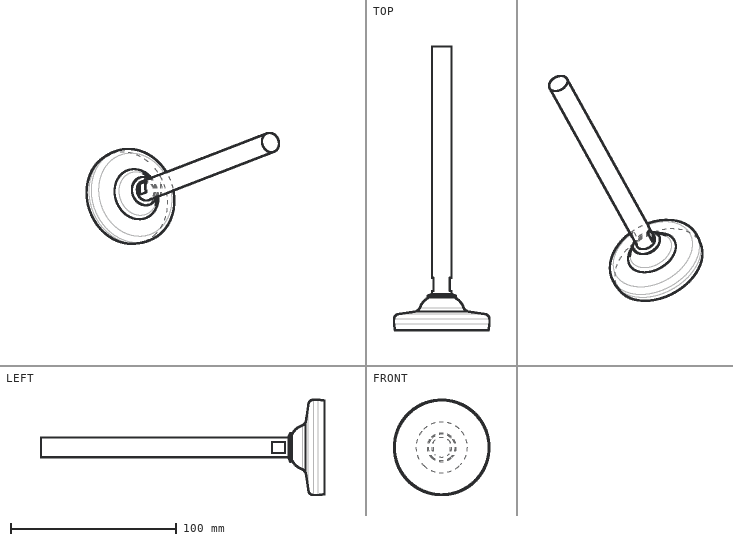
import cadquery as cq
import math

TOTAL_LENGTH = 172.0
FOOT_RADIUS = 58.0 / 2
ROD_RADIUS = 12.0 / 2

UNDERSIDE_RADIUS = FOOT_RADIUS - 0.5
TAPER_HEIGHT = 4.0
RIM_HEIGHT = 6.7
RIM_ROUND = 3.3
SHOULDER_HEIGHT = RIM_HEIGHT + RIM_ROUND
SHOULDER_RADIUS = FOOT_RADIUS - RIM_ROUND

DOME_FOOT_RADIUS = 15.5
DOME_FOOT_HEIGHT = 11.5
DOME_RADIUS = 13.5
DOME_HEIGHT = 13.5
DOME_TOP_RADIUS = 8.0
DOME_TOP_HEIGHT = 19.8
DOME_BULGE = 0.9
FLARE_SAG = 0.2
LIP_RADIUS = 8.8
LIP_HEIGHT = 20.8
SEAT_HEIGHT = 22.0

FLAT_WIDTH = 10.0
FLAT_START = 23.9
FLAT_LENGTH = 7.9


def bulged_middle(start, end, bulge):
    """Midpoint of a chord, moved outward (away from the axis and upward) by the bulge."""
    run = end[0] - start[0]
    rise = end[1] - start[1]
    chord = math.hypot(run, rise)
    middle_radius = (start[0] + end[0]) / 2 + bulge * rise / chord
    middle_height = (start[1] + end[1]) / 2 - bulge * run / chord
    return (middle_radius, middle_height)


def revolve_about_y(profile):
    return profile.close().revolve(360, (0, 0, 0), (0, 1, 0))


def make_foot():
    rim = (FOOT_RADIUS, RIM_HEIGHT)
    shoulder = (SHOULDER_RADIUS, SHOULDER_HEIGHT)
    dome_foot = (DOME_FOOT_RADIUS, DOME_FOOT_HEIGHT)
    dome_base = (DOME_RADIUS, DOME_HEIGHT)
    dome_top = (DOME_TOP_RADIUS, DOME_TOP_HEIGHT)
    rim_middle = (
        SHOULDER_RADIUS + RIM_ROUND * math.sqrt(0.5),
        RIM_HEIGHT + RIM_ROUND * math.sqrt(0.5),
    )
    profile = (
        cq.Workplane("XY")
        .lineTo(UNDERSIDE_RADIUS, 0)
        .lineTo(FOOT_RADIUS, TAPER_HEIGHT)
        .lineTo(*rim)
        .threePointArc(rim_middle, shoulder)
        .lineTo(*dome_foot)
        .threePointArc(bulged_middle(dome_foot, dome_base, -FLARE_SAG), dome_base)
        .threePointArc(bulged_middle(dome_base, dome_top, DOME_BULGE), dome_top)
        .lineTo(LIP_RADIUS, LIP_HEIGHT)
        .lineTo(ROD_RADIUS, SEAT_HEIGHT)
        .lineTo(0, SEAT_HEIGHT)
    )
    return revolve_about_y(profile)


def make_rod():
    profile = (
        cq.Workplane("XY")
        .moveTo(0, SEAT_HEIGHT)
        .lineTo(ROD_RADIUS, SEAT_HEIGHT)
        .lineTo(ROD_RADIUS, TOTAL_LENGTH)
        .lineTo(0, TOTAL_LENGTH)
    )
    rod = revolve_about_y(profile)
    cutter_size = 2 * ROD_RADIUS
    for side in (-1, 1):
        cutter_center = side * (FLAT_WIDTH + cutter_size) / 2
        cutter = cq.Workplane("XY").box(cutter_size, FLAT_LENGTH, cutter_size)
        rod = rod.cut(cutter.translate((cutter_center, FLAT_START + FLAT_LENGTH / 2, 0)))
    return rod


foot = make_foot()
rod = make_rod()
result = cq.Compound.makeCompound([foot.val(), rod.val()])